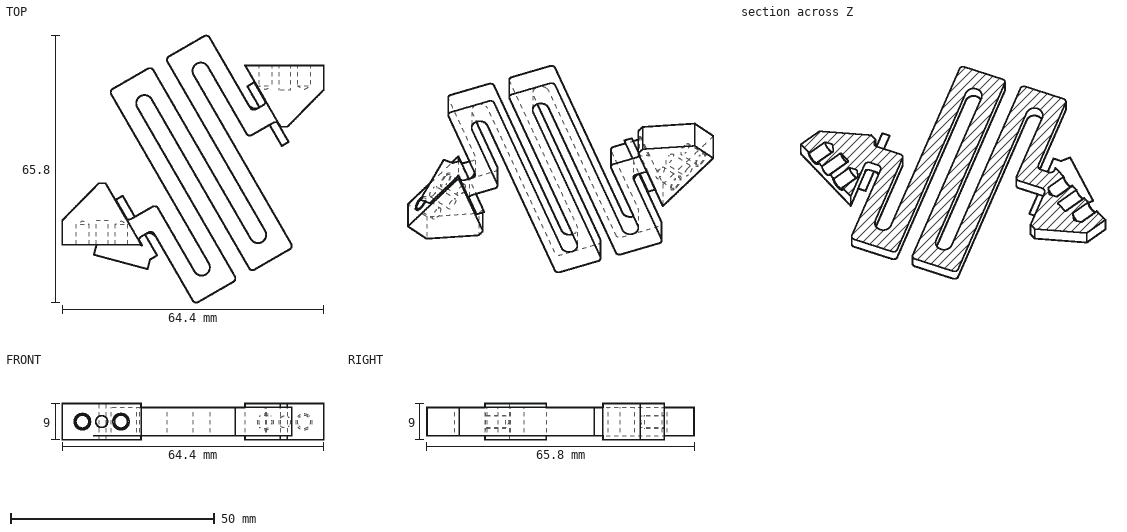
import cadquery as cq
import math

tilt = 30.0
tilt_angle = math.radians(tilt)

spring_thickness = 7.0
beam_width = 4.0
gap = 4.0
pitch = beam_width + gap
half_length = 28.0
bend_depth = 5.0
bend_start = half_length - bend_depth - gap / 2
corner_radius = 1.0

tab_height = 5.0
tab_bottom = 1.0
tab_top = tab_bottom + tab_height
tab_middle = tab_bottom + tab_height / 2
tab_fillet = 1.0
tabs_center = (0, -0.5, 0)
leg_inner = 2 * pitch - beam_width / 2
leg_outer = 2 * pitch + beam_width / 2
tab_reach = 4.1
block_face = leg_outer + tab_reach

sheet_thickness = 0.02
foot_gap = 2.0
foot_width = 2.0
foot_length = 17.0
foot_inner = leg_outer + foot_gap
foot_outer = foot_inner + foot_width
wing_length = 13.72
wing_width = 5.3
wing_setback = 1.75
wing_turn = -45.0

block_height = 9.0
face_length = 17.5
block_width = 19.456
block_depth = face_length * math.cos(tilt_angle)
block_side = 6.0
block_bevel_width = 9.0
right_block_shift = 8.0
blocks_turn_middle = right_block_shift / 2

screw_diameter = 3.2
screw_rim_diameter = 4.0
screw_rim_depth = 0.05
screw_depth = 5.0
screw_spacing = 4.75
drill_tip_angle = 118.0
pin_diameter = 2.9
pin_depth = 6.0


def centered_box(width, length, x, y):
    """Spring-thick box centred at x, y."""
    return cq.Workplane("XY").box(width, length, spring_thickness).translate((x, y, 0))


def tilted(shape):
    return shape.rotate((0, 0, 0), (0, 0, 1), tilt)


def half_turned(shape, center):
    """Turn a shape half way round the vertical axis through center."""
    x, y, z = center
    return shape.rotate((x, y, z), (x, y, z + 1), 180)


def make_bend(x, side):
    """Bend joining two neighbouring beams; side is +1 at the top, -1 at the bottom."""
    length = half_length - bend_start
    width = pitch + beam_width
    bend = centered_box(width, length, x, side * (half_length - length / 2))
    bend = bend.faces(">Y" if side > 0 else "<Y").edges("|Z").fillet(corner_radius)
    round_end = cq.Workplane("XY").cylinder(spring_thickness, gap / 2)
    return bend.cut(round_end.translate((x, side * bend_start, 0)))


def make_hook():
    """Right outer leg with the tab that carries the block."""
    r = corner_radius
    f = tab_fillet
    return (
        cq.Workplane("XY")
        .workplane(offset=-spring_thickness / 2)
        .moveTo(leg_inner, bend_start)
        .lineTo(leg_inner, tab_bottom + r)
        .radiusArc((leg_inner + r, tab_bottom), -r)
        .lineTo(block_face - f, tab_bottom)
        .radiusArc((block_face, tab_bottom - f), f)
        .lineTo(block_face, tab_top + f)
        .radiusArc((block_face - f, tab_top), f)
        .lineTo(leg_outer + r, tab_top)
        .radiusArc((leg_outer, tab_top + r), r)
        .lineTo(leg_outer, bend_start)
        .close()
        .extrude(spring_thickness)
    )


def make_spring():
    straight = 2 * bend_start
    hook = make_hook()
    spring = hook.union(half_turned(hook, tabs_center))
    for i in (-1, 0, 1):
        spring = spring.union(centered_box(beam_width, straight, i * pitch, 0))
    for i, side in ((-1.5, -1), (-0.5, 1), (0.5, -1), (1.5, 1)):
        spring = spring.union(make_bend(i * pitch, side))
    return spring


def make_foot():
    """Thin strip along the right block, with a web rounding the gap between strip and leg."""
    base = cq.Workplane("XY").workplane(offset=-spring_thickness / 2)
    strip = (
        base.center(foot_inner + foot_width / 2, tab_middle)
        .rect(foot_width, foot_length)
        .extrude(sheet_thickness)
    )
    web = (
        base.moveTo(leg_outer, tab_top)
        .lineTo(foot_inner, tab_top)
        .radiusArc((leg_outer, tab_top + foot_gap), foot_gap)
        .close()
        .extrude(sheet_thickness)
    )
    return strip, web


def make_wing():
    """Thin rectangle at 45 degrees to the beams, under the left block."""
    foot_end = 2 * tabs_center[1] - tab_middle - foot_length / 2
    wing = (
        cq.Workplane("XY")
        .rect(wing_length, wing_width, centered=False)
        .extrude(sheet_thickness)
        .mirror("YZ")
        .rotate((0, 0, 0), (0, 0, 1), wing_turn)
    )
    return wing.translate((-foot_outer - wing_setback, foot_end - wing_setback, -spring_thickness / 2))


def make_screw_hole():
    """Revolved cutter along +Y: shallow rim recess, straight bore and drill tip."""
    bore = screw_diameter / 2
    rim = screw_rim_diameter / 2
    tip = bore / math.tan(math.radians(drill_tip_angle / 2))
    return (
        cq.Workplane("XY")
        .polyline(
            [
                (0, 0),
                (rim, 0),
                (rim, screw_rim_depth),
                (bore, screw_rim_depth),
                (bore, screw_depth),
                (0, screw_depth + tip),
            ]
        )
        .close()
        .revolve(360, (0, 0, 0), (0, 1, 0))
    )


def make_left_block():
    """Left block, placed on the tilted spring; its tilted face meets the tab."""
    middle_x = -block_face * math.cos(tilt_angle)
    middle_y = -block_face * math.sin(tilt_angle)
    half_run = face_length / 2 * math.sin(tilt_angle)
    front = middle_y - block_depth / 2
    back = front + block_depth
    right = middle_x + half_run
    left = right - block_width
    block = (
        cq.Workplane("XY")
        .workplane(offset=-block_height / 2)
        .polyline(
            [
                (left, front),
                (right, front),
                (middle_x - half_run, back),
                (left + block_bevel_width, back),
                (left, front + block_side),
            ]
        )
        .close()
        .extrude(block_height)
    )
    hole_x = left + block_width / 2
    for side in (-1, 1):
        block = block.cut(make_screw_hole().translate((hole_x + side * screw_spacing, front, 0)))
    pin_hole = cq.Workplane("XZ").circle(pin_diameter / 2).extrude(-pin_depth)
    return block.cut(pin_hole.translate((hole_x, front, 0)))


spring = make_spring().union(make_wing())
for sheet in make_foot():
    spring = spring.union(sheet).union(half_turned(sheet, tabs_center))

blocks_center = (-blocks_turn_middle * math.sin(tilt_angle), blocks_turn_middle * math.cos(tilt_angle), 0)
left_block = make_left_block()
right_block = half_turned(left_block, blocks_center)
result = tilted(spring).union(left_block).union(right_block)